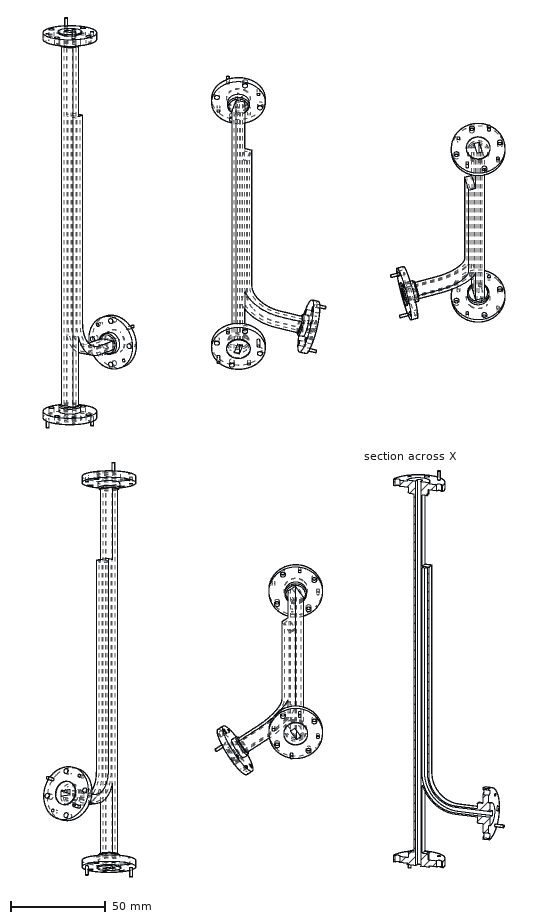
import cadquery as cq
import math

overall_height = 222.0
flange_diameter = 28.6
overall_depth = 60.2
side_reach = overall_depth - flange_diameter / 2
side_height = 37.7
coupled_top = 171.0
bend_radius = 18.0

bore_width = 5.8
bore_depth = 2.9
wall = 1.0
tube_width = bore_width + 2 * wall
tube_depth = bore_depth + 2 * wall
coupled_offset = bore_depth + wall

flange_thickness = 3.5
boss_diameter = 12.7
boss_height = 0.7
hub_diameter = 11.5
hub_height = 3.3
hub_chamfer = 0.7
pin_length = 4.9
pin_diameter = 1.5
screw_hole_diameter = 2.7
dowel_hole_diameter = 1.5
bolt_radius = 12.0
pin_angles = (135, 315)
dowel_hole_angles = (45, 225)
screw_hole_angles = (0, 90, 180, 270)


def cylinders(diameter, start, length, angles):
    """Cylinders on the bolt circle, running along +Z from the start height."""
    points = [
        (bolt_radius * math.cos(math.radians(a)), bolt_radius * math.sin(math.radians(a)))
        for a in angles
    ]
    return (
        cq.Workplane("XY", origin=(0, 0, start))
        .pushPoints(points)
        .circle(diameter / 2)
        .extrude(length)
    )


def make_flange():
    """Flange facing +Z, with its pin tips at the origin height."""
    face = -pin_length
    back = face - flange_thickness
    plate = (
        cq.Workplane("XY", origin=(0, 0, back))
        .circle(flange_diameter / 2)
        .extrude(flange_thickness)
    )
    boss = (
        cq.Workplane("XY", origin=(0, 0, face))
        .circle(boss_diameter / 2)
        .extrude(boss_height)
    )
    hub = (
        cq.Workplane("XY", origin=(0, 0, back - hub_height))
        .circle(hub_diameter / 2)
        .extrude(hub_height)
        .faces("<Z")
        .chamfer(hub_chamfer)
    )
    pins = cylinders(pin_diameter, back, flange_thickness + pin_length, pin_angles)
    return (
        plate.union(boss)
        .union(hub)
        .cut(cylinders(screw_hole_diameter, back, flange_thickness, screw_hole_angles))
        .cut(cylinders(dowel_hole_diameter, back, flange_thickness, dowel_hole_angles))
        .union(pins)
    )


def main_guide(width, depth, bottom, top):
    """Straight bar of rectangular section on the Z axis."""
    return cq.Workplane("XY", origin=(0, 0, bottom)).rect(width, depth).extrude(top - bottom)


def coupled_guide(width, depth, top, reach):
    """Rectangular bar running down beside the main guide, then bending to +Y."""
    bend_start = side_height + bend_radius
    bend_end = coupled_offset + bend_radius
    inset = bend_radius * (1 - math.sqrt(0.5))
    path = (
        cq.Workplane("YZ")
        .moveTo(coupled_offset, top)
        .lineTo(coupled_offset, bend_start)
        .threePointArc((coupled_offset + inset, side_height + inset), (bend_end, side_height))
        .lineTo(reach, side_height)
    )
    return cq.Workplane("XY", origin=(0, coupled_offset, top)).rect(width, depth).sweep(path)


flange = make_flange()
top_flange = flange.translate((0, 0, overall_height))
bottom_flange = flange.rotate((0, 0, 0), (1, 0, 0), 180)
side_flange = flange.rotate((0, 0, 0), (1, 0, 0), -90).translate((0, side_reach, side_height))

tube_inset = pin_length
bore_inset = pin_length - boss_height

result = (
    main_guide(tube_width, tube_depth, tube_inset, overall_height - tube_inset)
    .union(coupled_guide(tube_width, tube_depth, coupled_top, side_reach - tube_inset))
    .union(top_flange)
    .union(bottom_flange)
    .union(side_flange)
    .cut(main_guide(bore_width, bore_depth, bore_inset, overall_height - bore_inset))
    .cut(coupled_guide(bore_width, bore_depth, coupled_top - wall, side_reach - bore_inset))
)